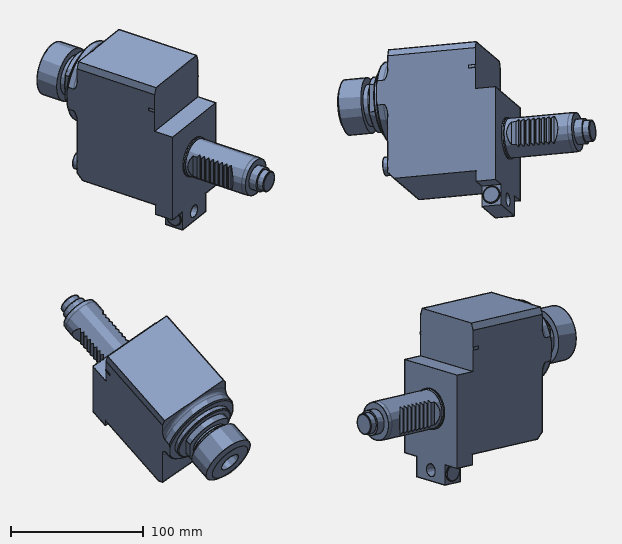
import cadquery as cq
import math


body_width = 60.0
half_width = body_width / 2
body_front = -85.4
step_x = -16.0
body_top = 69.6
rear_top = 32.3
body_bottom = -32.3
bottom_chamfer = 5.0
top_chamfer_height = 5.3
top_chamfer_width = 2.0
rear_plate_x = -15.3
rear_plate_bottom = -40.5

lug_bottom = -56.5
lug_width = 32.3
lug_center_z = -48.0
lug_hole_diameter = 9.8
lug_disc_diameter = 13.4
lug_disc_height = 0.8
lug_disc_chamfer = 0.5

spindle_z = 36.0
nose_tip = -129.5
nose_end = -109.5
nose_radius = 21.0
nose_chamfer_length = 2.2
nose_chamfer_depth = 4.1
neck_step = -105.8
front_neck_radius = 16.0
rear_neck_radius = 15.1
nut_front = -103.8
nut_back = -99.0
nut_flat_distance = 18.0
flange_front = -98.3
flange_radius = 25.2
flange_chamfer = 0.8
collar_front = -94.4
collar_radius = 31.5
collar_chamfer = 1.0
collar_fillet = 3.3
bore_diameter = 16.1
bore_depth = 19.7

shank_radius = 15.0
shoulder_radius = 15.7
shoulder_length = 1.2
shoulder_taper_end = 2.0
shank_taper_start = 52.1
shank_end = 55.3
shank_end_radius = 14.5
collet_end = 61.8
collet_radius = 9.6
stub_end = 67.3
stub_radius = 8.0
stub_chamfer = 0.5

flat_distance = 12.0
tooth_depth = 1.5
tooth_pitch = 4.0
tooth_count = 8
flat_start = 6.9
first_groove = 12.0

overhang = 0.4
stop_pin_radius = 7.0
stop_pin_length = 4.0
stop_pin_z = -20.3
side_pin_radius = 2.0
side_pin_length = 5.3
side_pin_z = 50.0


def box_between(x_range, y_range, z_range):
    """Box given by its lower and upper limits on each axis."""
    low, high = zip(x_range, y_range, z_range)
    size = [b - a for a, b in zip(low, high)]
    return cq.Workplane("XY").box(*size, centered=False).translate(low)


def rod(radius, x_start, length, y, z):
    """Cylinder running along +X."""
    return cq.Workplane("YZ", origin=(x_start, y, z)).circle(radius).extrude(length)


def turned(profile, axis_z):
    """Revolve a closed XY profile of (x, radius) about the X axis and lift it to axis_z."""
    return profile.close().revolve(360, (0, 0, 0), (1, 0, 0)).translate((0, 0, axis_z))


def make_housing():
    side_outline = [
        (body_front, body_top),
        (step_x, body_top),
        (step_x, rear_top),
        (0, rear_top),
        (0, rear_plate_bottom),
        (rear_plate_x, rear_plate_bottom),
        (rear_plate_x, body_bottom),
        (body_front + bottom_chamfer, body_bottom),
        (body_front, body_bottom + bottom_chamfer),
    ]
    housing = cq.Workplane("XZ").polyline(side_outline).close().extrude(half_width, both=True)
    for side in (1, -1):
        corner = [
            (side * half_width, body_top),
            (side * (half_width - top_chamfer_width), body_top),
            (side * half_width, body_top - top_chamfer_height),
        ]
        wedge = cq.Workplane("YZ", origin=(body_front, 0, 0)).polyline(corner).close()
        housing = housing.cut(wedge.extrude(step_x - body_front))
    return housing


def make_lug():
    center_x = rear_plate_x / 2
    half_lug = lug_width / 2
    lug = box_between((rear_plate_x, 0), (-half_lug, half_lug), (lug_bottom, rear_plate_bottom))
    disc = (
        cq.Workplane("XZ", origin=(center_x, half_lug + lug_disc_height, lug_center_z))
        .circle(lug_disc_diameter / 2)
        .extrude(lug_width + 2 * lug_disc_height)
        .faces("<Y or >Y")
        .chamfer(lug_disc_chamfer)
    )
    hole = rod(lug_hole_diameter / 2, rear_plate_x, -rear_plate_x, 0, lug_center_z)
    return lug.union(disc).cut(hole)


def make_collar():
    """Round collar blended into the front face and trimmed flush with the housing sides and top."""
    blend_radius = collar_radius + collar_fillet
    mid_angle = math.radians(45)
    blend_mid = (
        body_front - collar_fillet * (1 - math.sin(mid_angle)),
        blend_radius - collar_fillet * math.cos(mid_angle),
    )
    profile = (
        cq.Workplane("XY")
        .moveTo(collar_front, 0)
        .lineTo(collar_front, collar_radius - collar_chamfer)
        .lineTo(collar_front + collar_chamfer, collar_radius)
        .lineTo(body_front - collar_fillet, collar_radius)
        .threePointArc(blend_mid, (body_front, blend_radius))
        .lineTo(body_front, 0)
    )
    trim = box_between((collar_front, body_front), (-half_width, half_width), (body_bottom, body_top))
    return turned(profile, spindle_z).intersect(trim)


def make_spindle():
    nose_profile = cq.Workplane("XY").polyline([
        (nose_tip, 0),
        (nose_tip, nose_radius - nose_chamfer_depth),
        (nose_tip + nose_chamfer_length, nose_radius),
        (nose_end, nose_radius),
        (nose_end, front_neck_radius),
        (neck_step, front_neck_radius),
        (neck_step, rear_neck_radius),
        (flange_front, rear_neck_radius),
        (flange_front, flange_radius - flange_chamfer),
        (flange_front + flange_chamfer, flange_radius),
        (collar_front, flange_radius),
        (collar_front, 0),
    ])
    nut = rod(nose_radius, nut_front, nut_back - nut_front, 0, spindle_z)
    flats = box_between(
        (nut_front, nut_back),
        (-nut_flat_distance, nut_flat_distance),
        (spindle_z - nose_radius, spindle_z + nose_radius),
    )
    bore = rod(bore_diameter / 2, nose_tip, bore_depth, 0, spindle_z)
    return turned(nose_profile, spindle_z).union(nut.intersect(flats)).cut(bore)


def make_tooth_cutter():
    """Material removed on the +Y side: a flat with 45 degree ends and a row of 90 degree V grooves."""
    clear_y = shoulder_radius
    groove_bottom = flat_distance - tooth_depth
    rise = clear_y - flat_distance
    outline = [(flat_start - rise, clear_y), (flat_start, flat_distance)]
    for i in range(tooth_count):
        groove_x = first_groove + i * tooth_pitch
        outline.append((groove_x - tooth_depth, flat_distance))
        outline.append((groove_x, groove_bottom))
        if i < tooth_count - 1:
            outline.append((groove_x + tooth_depth, flat_distance))
    last_groove = first_groove + (tooth_count - 1) * tooth_pitch
    outline.append((last_groove + clear_y - groove_bottom, clear_y))
    return cq.Workplane("XY").polyline(outline).close().extrude(shank_radius, both=True)


def make_shank():
    profile = cq.Workplane("XY").polyline([
        (0, 0),
        (0, shoulder_radius),
        (shoulder_length, shoulder_radius),
        (shoulder_taper_end, shank_radius),
        (shank_taper_start, shank_radius),
        (shank_end, shank_end_radius),
        (shank_end, collet_radius),
        (collet_end, collet_radius),
        (collet_end, stub_radius),
        (stub_end - stub_chamfer, stub_radius),
        (stub_end, stub_radius - stub_chamfer),
        (stub_end, 0),
    ])
    cutter = make_tooth_cutter()
    return turned(profile, 0).cut(cutter).cut(cutter.mirror("XZ"))


def add_pins(part):
    outer_y = half_width + overhang
    stop_pin_y = -(outer_y - stop_pin_radius)
    stop_pin_start = body_front - stop_pin_length
    part = part.union(rod(stop_pin_radius, stop_pin_start, stop_pin_length, stop_pin_y, stop_pin_z))
    for side in (1, -1):
        side_pin_y = side * (outer_y - side_pin_radius)
        pin = rod(side_pin_radius, step_x - side_pin_length, side_pin_length, side_pin_y, side_pin_z)
        part = part.union(pin)
    return part


housing = make_housing().union(make_lug()).union(make_collar())
result = add_pins(housing.union(make_spindle()).union(make_shank()))